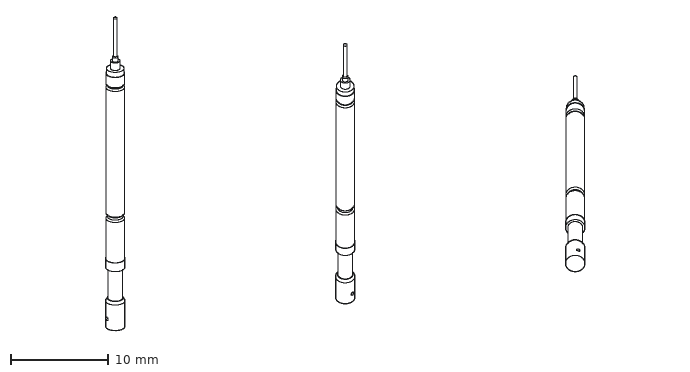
import cadquery as cq

HEIGHT = 35.8

PIN_RADIUS = 0.4 / 2
PIN_TIP_RADIUS = 0.07 / 2
COLLAR_RADIUS = 0.6 / 2
NECK_RADIUS = 1.0 / 2
RIM_RADIUS = 1.83 / 2
BARREL_RADIUS = 1.95 / 2
GROOVE_RADIUS = 1.58 / 2
STEM_RADIUS = 1.55 / 2
FLANGE_RADIUS = 2.0 / 2
SLEEVE_MOUTH_RADIUS = 1.65 / 2

SLEEVE_TOP = 3.3
FLANGE_BOTTOM = 6.85
FLANGE_TOP = 7.85
BARREL_TOP = 29.3
RIM_TOP = 29.85
NECK_TOP = 30.7
COLLAR_TOP = 31.3

SLEEVE_CHAMFER = 0.32
COLLAR_CHAMFER = 0.1
PIN_TIP_LENGTH = 0.15

GROOVES = ((12.8, 0.25), (27.9, 0.07))
GROOVE_FLANK = 0.18

HOLE_DIAMETER = 0.35
HOLE_HEIGHT = 1.1
HOLE_DEPTH = 0.2


def half_profile():
    """Half section of the turned body, radius against height, from bottom to top."""
    profile = (
        cq.Workplane("XZ")
        .lineTo(FLANGE_RADIUS, 0)
        .lineTo(FLANGE_RADIUS, SLEEVE_TOP - SLEEVE_CHAMFER)
        .lineTo(SLEEVE_MOUTH_RADIUS, SLEEVE_TOP)
        .lineTo(STEM_RADIUS, SLEEVE_TOP)
        .lineTo(STEM_RADIUS, FLANGE_BOTTOM)
        .lineTo(FLANGE_RADIUS, FLANGE_BOTTOM)
        .lineTo(FLANGE_RADIUS, FLANGE_TOP)
        .lineTo(BARREL_RADIUS, FLANGE_TOP)
    )
    for middle, floor in GROOVES:
        half_floor = floor / 2
        half_mouth = half_floor + GROOVE_FLANK
        profile = (
            profile.lineTo(BARREL_RADIUS, middle - half_mouth)
            .lineTo(GROOVE_RADIUS, middle - half_floor)
            .lineTo(GROOVE_RADIUS, middle + half_floor)
            .lineTo(BARREL_RADIUS, middle + half_mouth)
        )
    return (
        profile.lineTo(BARREL_RADIUS, BARREL_TOP)
        .lineTo(RIM_RADIUS, BARREL_TOP)
        .lineTo(RIM_RADIUS, RIM_TOP)
        .lineTo(NECK_RADIUS, RIM_TOP)
        .lineTo(NECK_RADIUS, NECK_TOP)
        .lineTo(COLLAR_RADIUS, NECK_TOP)
        .lineTo(COLLAR_RADIUS, COLLAR_TOP - COLLAR_CHAMFER)
        .lineTo(PIN_RADIUS, COLLAR_TOP)
        .lineTo(PIN_RADIUS, HEIGHT - PIN_TIP_LENGTH)
        .lineTo(PIN_TIP_RADIUS, HEIGHT)
        .lineTo(0, HEIGHT)
        .close()
    )


def side_hole():
    """Cutter for the blind hole, reaching into the sleeve from its -Y side."""
    return (
        cq.Workplane("XZ", origin=(0, -FLANGE_RADIUS, HOLE_HEIGHT))
        .circle(HOLE_DIAMETER / 2)
        .extrude(-HOLE_DEPTH)
    )


turned_body = half_profile().revolve(360, (0, 0), (0, 1))
result = turned_body.cut(side_hole())